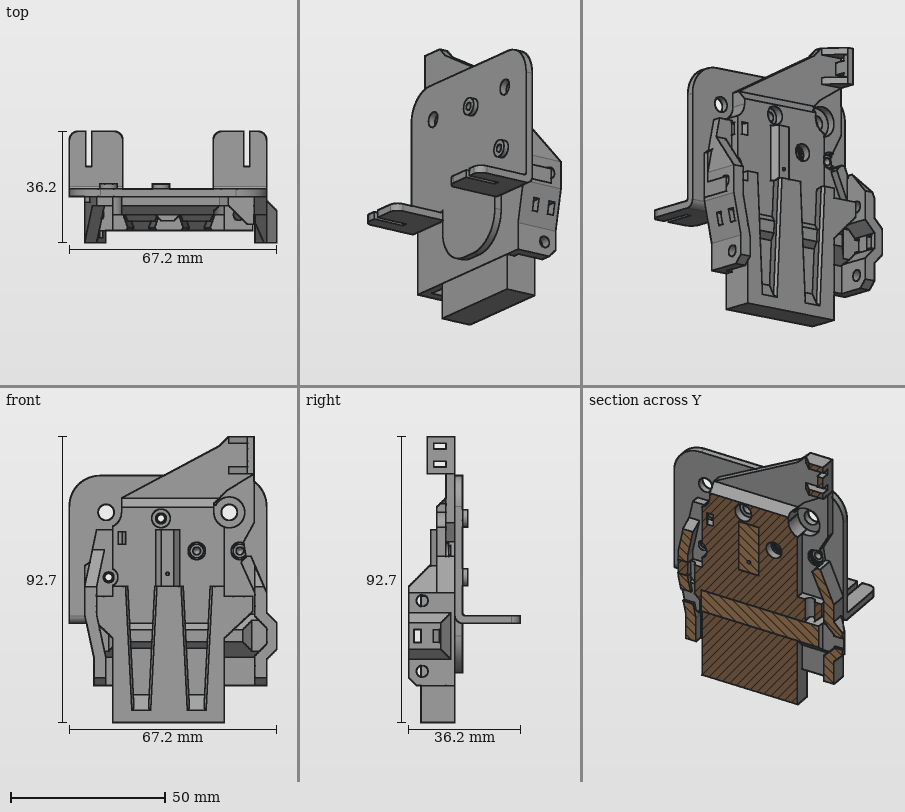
import cadquery as cq
import math


PLATE_WIDTH = 64.0
PLATE_TOP = 80.1
PLATE_BOTTOM = 16.1
PLATE_THICK = 2.5
PLATE_TOP_RADIUS = 10.0
PLATE_BOTTOM_RADIUS = 12.05
BEND_INNER_RADIUS = 0.8
BEND_OUTER_RADIUS = 2.5
TAB_WIDTH = 17.4
TAB_REACH = 21.2
TAB_BOTTOM = 32.2
LEG_TOP = TAB_BOTTOM + 2 * PLATE_THICK
TAB_RADIUS = 3.0
TAB_SLOT_WIDTH = 1.85
TAB_SLOT_LENGTH = 11.4
TAB_SLOT_CENTRES = (6.3, 57.6)
MOUNT_HOLES = (12.0, 51.9)
MOUNT_Z = 68.1
MOUNT_DIA = 5.1
MOUNT_CLEARANCE_DIA = 10.0
NUTS = ((29.75, 66.2), (12.8, 47.1))
NUT_DIA = 5.65
NUT_THREAD_DIA = 2.5
NUT_END = 4.2

BASE_DEPTH = 3.0
FLOOR_DEPTH = 5.9
SPINE_DEPTH = 7.9
BAR_DEPTH = 8.0
FINGER_DEPTH = 11.0
ARM_DEPTH = 15.0

BASE_BOTTOM = 12.0
CHUTE_LEFT = 14.1
CHUTE_RIGHT = 50.3
CHUTE_TOP = 72.8
CHUTE_STEP_X = 17.0
CHUTE_CORNER_LOW = (46.8, 70.9)
CHUTE_CORNER_HIGH = (51.1, 75.2)
FINGER_TOP = 44.1
WING_TOP = 62.6
ARM_WIDTH = 3.9
LEFT_ARM_X = 5.0
LEFT_ARM_FOOT_X = 8.0
LEFT_ARM_TOP_X = 8.9
LEFT_BEND_TOP = 34.85
LEFT_BEND_BOTTOM = 21.1
RIGHT_ARM_X = PLATE_WIDTH - ARM_WIDTH
STRUT_FOOT = 42.1
STRUT_TOP = 53.85
STRUT_HEAD_LEFT = 57.3
STRUT_HEAD_RIGHT = 58.9
BULGE = 3.2
ARM_SLOPE_TOP = 56.1
ARM_FOOT_CHAMFER = 2.6
UPPER_RIGHT = 60.0

SHOULDER_LEFT = LEFT_ARM_X
SHOULDER_RIGHT = 59.5
SHOULDER_TOP = 40.9
SHOULDER_BOTTOM = 36.0
PAD_DEPTH = 1.8

SLOT_CENTRES = (23.4, 41.3)
SLOT_BOTTOM = 3.9
SLOT_TOP_HALF = 5.1
SLOT_BOTTOM_HALF = 3.1
LIP = 0.7
LIP_DEPTH = 10.1
UNDERCUT = 1.5

ARM_HOLE_DIA = 3.7
ARM_HOLE_DEPTH = 10.6
ARM_HOLE_Z = (39.5, 16.6)
WINDOW_DEPTHS = ((5.0, 6.95), (FINGER_DEPTH, 13.25))
WINDOW_BOTTOM = 25.95
WINDOW_TOP = 30.1
SCREW_DIA = 3.4
SCREW_HEAD_DIA = 6.0
PILOT_X = (41.3, 55.3)
PILOT_Z = 55.6
PILOT_HEAD_DIA = 5.65
PILOT_DIA = 4.45
PILOT_TIP_DIA = 2.5
PILOT_HEAD_FLOOR = 2.0
PILOT_CONE_TOP = 1.4
SPINE_HOLE_X = 31.9
SPINE_HOLE_Z = 48.2
SPINE_HOLE_DIA = 1.0

BOX_TOP = 92.7
BOX_BOTTOM = 80.6
BOX_WALL = 2.2
BOX_DEPTH = 9.0
BOX_SLOT_HEIGHT = 1.8
BOX_SLOT_DEPTH = 6.9


def prism(points, depth, start=0.0):
    """An X-Z outline that runs forward from depth `start` to `depth`."""
    return cq.Workplane("XZ", origin=(0, -start, 0)).polyline(points).close().extrude(depth - start)


def side_prism(points, left, right):
    """A (depth, Z) outline that runs along X."""
    outline = [(-depth, z) for depth, z in points]
    return cq.Workplane("YZ", origin=(left, 0, 0)).polyline(outline).close().extrude(right - left)


def flat_prism(points, bottom, top):
    """An (X, depth) outline that runs up Z."""
    outline = [(x, -depth) for x, depth in points]
    return cq.Workplane("XY", origin=(0, 0, bottom)).polyline(outline).close().extrude(top - bottom)


def block(x0, x1, depth0, depth1, z0, z1):
    return prism([(x0, z0), (x1, z0), (x1, z1), (x0, z1)], depth1, depth0)


def rod(x, z, diameter, start, end):
    """A cylinder along Y between two depths."""
    return cq.Workplane("XZ", origin=(x, -start, z)).circle(diameter / 2).extrude(end - start)


def bent_tab(left, slot_x):
    """A slotted tab that leaves the plate's lower edge through a rounded bend."""
    tab_top = TAB_BOTTOM + PLATE_THICK
    right = left + TAB_WIDTH
    profile = [(0, TAB_BOTTOM), (0, LEG_TOP), (-PLATE_THICK, LEG_TOP), (-PLATE_THICK, tab_top),
               (-TAB_REACH, tab_top), (-TAB_REACH, TAB_BOTTOM)]
    body = side_prism(profile, left, right)
    body = body.edges("|Z and >Y").fillet(TAB_RADIUS)
    body = body.edges("|X and <Y and <Z").fillet(BEND_OUTER_RADIUS)
    axis_y = PLATE_THICK + BEND_INNER_RADIUS
    axis_z = tab_top + BEND_INNER_RADIUS
    bend_fill = block(left, right, -axis_y, -PLATE_THICK, tab_top, axis_z)
    bend_axis = cq.Workplane("YZ", origin=(left, axis_y, axis_z))
    body = body.union(bend_fill.cut(bend_axis.circle(BEND_INNER_RADIUS).extrude(TAB_WIDTH)))
    half = TAB_SLOT_WIDTH / 2
    slot = block(slot_x - half, slot_x + half, -TAB_REACH, TAB_SLOT_LENGTH - TAB_REACH, TAB_BOTTOM, tab_top)
    return body.cut(slot)


def make_plate():
    plate = block(0, PLATE_WIDTH, -PLATE_THICK, 0, LEG_TOP, PLATE_TOP)
    plate = plate.edges("|Y and >Z").fillet(PLATE_TOP_RADIUS)
    lower = block(TAB_WIDTH, PLATE_WIDTH - TAB_WIDTH, -PLATE_THICK, 0, PLATE_BOTTOM, LEG_TOP)
    plate = plate.union(lower.edges("|Y and <Z").fillet(PLATE_BOTTOM_RADIUS))
    for left, slot_x in zip((0, PLATE_WIDTH - TAB_WIDTH), TAB_SLOT_CENTRES):
        plate = plate.union(bent_tab(left, slot_x))
    for x in MOUNT_HOLES:
        plate = plate.cut(rod(x, MOUNT_Z, MOUNT_DIA, -PLATE_THICK, 0))
    for x, z in NUTS:
        plate = plate.union(rod(x, z, NUT_DIA, -NUT_END, -PLATE_THICK))
        plate = plate.cut(rod(x, z, NUT_THREAD_DIA, -NUT_END, 0))
    return plate


def tie_channel():
    """A curved cable-tie passage from the chute's front face to its left side."""
    outer_radius, inner_radius = 4.3, 1.85
    bottom, top = 57.7, 61.8
    corner = cq.Workplane("XY", origin=(CHUTE_LEFT, -FLOOR_DEPTH, bottom))
    ring = corner.circle(outer_radius).circle(inner_radius).extrude(top - bottom)
    return ring.intersect(block(CHUTE_LEFT, CHUTE_RIGHT, 0, FLOOR_DEPTH, bottom, top))


def pilot_hole(x):
    """A counterbored hole with a conical bottom."""
    head = rod(x, PILOT_Z, PILOT_HEAD_DIA, PILOT_HEAD_FLOOR, FLOOR_DEPTH)
    neck = rod(x, PILOT_Z, PILOT_DIA, PILOT_CONE_TOP, PILOT_HEAD_FLOOR)
    radius = PILOT_TIP_DIA / 2
    rim = cq.Vector(x, -PILOT_CONE_TOP, PILOT_Z)
    tip = cq.Solid.makeCone(radius, 0, radius, pnt=rim, dir=cq.Vector(0, 1, 0))
    return head.union(neck).union(cq.Workplane(tip))


def cut_fastenings(body):
    """Holes and passages shared by the frame and the chute on it."""
    for x in MOUNT_HOLES:
        body = body.cut(rod(x, MOUNT_Z, MOUNT_CLEARANCE_DIA, 0, FLOOR_DEPTH))
    for x, z in NUTS:
        body = body.cut(rod(x, z, SCREW_DIA, 0, BASE_DEPTH))
        body = body.cut(rod(x, z, SCREW_HEAD_DIA, BASE_DEPTH, FLOOR_DEPTH))
    for x in PILOT_X:
        body = body.cut(pilot_hole(x))
    body = body.cut(tie_channel())
    return body.cut(rod(SPINE_HOLE_X, SPINE_HOLE_Z, SPINE_HOLE_DIA, 0, SPINE_DEPTH))


def base():
    """The flat layer against the plate, round the upper end of the chute."""
    waist_top = 64.8
    waist = (56.5, 58.6)
    outline = [
        (LEFT_ARM_FOOT_X, BASE_BOTTOM), (LEFT_ARM_FOOT_X, LEFT_BEND_BOTTOM),
        (LEFT_ARM_X, LEFT_BEND_TOP), (LEFT_ARM_X, FINGER_TOP),
        (LEFT_ARM_TOP_X, WING_TOP), (CHUTE_RIGHT, WING_TOP), (CHUTE_RIGHT, MOUNT_Z),
        CHUTE_CORNER_LOW, CHUTE_CORNER_HIGH, (UPPER_RIGHT, BOX_BOTTOM),
        (UPPER_RIGHT, waist_top), waist, (STRUT_HEAD_LEFT, STRUT_TOP), (STRUT_HEAD_RIGHT, STRUT_TOP),
        (PLATE_WIDTH, STRUT_FOOT), (PLATE_WIDTH, BASE_BOTTOM),
    ]
    return prism(outline, BASE_DEPTH)


def spine():
    """The tapered rail that rises from the base through the chute, above its middle finger."""
    left, right, taper = 28.0, 35.8, 1.85
    outline = [(left, BASE_DEPTH), (left, FLOOR_DEPTH), (left + taper, SPINE_DEPTH),
               (right - taper, SPINE_DEPTH), (right, FLOOR_DEPTH), (right, BASE_DEPTH)]
    return flat_prism(outline, FINGER_TOP, WING_TOP)


def belt_bar():
    """The cross bar with 45 degree flanks and lowered ends."""
    rise = BAR_DEPTH - BASE_DEPTH
    top, bottom = 35.1, 21.1
    end_depth = 5.0
    ramp = BAR_DEPTH - end_depth
    left_end, right_end = 12.8, 59.2
    section = [(0, bottom), (BASE_DEPTH, bottom), (BAR_DEPTH, bottom + rise),
               (BAR_DEPTH, top - rise), (BASE_DEPTH, top), (0, top)]
    body = side_prism(section, LEFT_ARM_FOOT_X, PLATE_WIDTH)
    profile = [(LEFT_ARM_FOOT_X, 0), (PLATE_WIDTH, 0), (PLATE_WIDTH, end_depth), (right_end, end_depth),
               (right_end - ramp, BAR_DEPTH), (left_end + ramp, BAR_DEPTH),
               (left_end, end_depth), (LEFT_ARM_FOOT_X, end_depth)]
    return body.intersect(flat_prism(profile, bottom, top))


def arm_side(left, right):
    """The arm outline seen along X, between two X positions."""
    slope_rise = ARM_DEPTH - BASE_DEPTH
    outline = [
        (0, BASE_BOTTOM), (ARM_DEPTH - ARM_FOOT_CHAMFER, BASE_BOTTOM),
        (ARM_DEPTH, BASE_BOTTOM + ARM_FOOT_CHAMFER), (ARM_DEPTH, ARM_SLOPE_TOP - slope_rise),
        (BASE_DEPTH, ARM_SLOPE_TOP), (0, ARM_SLOPE_TOP),
    ]
    return side_prism(outline, left, right)


def left_arm():
    """The bent arm, with parallel inner and outer faces."""
    outer = [(LEFT_ARM_FOOT_X, BASE_BOTTOM), (LEFT_ARM_FOOT_X, LEFT_BEND_BOTTOM),
             (LEFT_ARM_X, LEFT_BEND_TOP), (LEFT_ARM_X, FINGER_TOP), (LEFT_ARM_TOP_X, WING_TOP)]
    inner = [(x + ARM_WIDTH, z) for x, z in reversed(outer)]
    return prism(outer + inner, ARM_DEPTH).intersect(arm_side(0, CHUTE_LEFT))


def right_arm():
    """The straight arm with a hollow bulge round the end of the bar."""
    edge, outer = PLATE_WIDTH, PLATE_WIDTH + BULGE
    bulge_bottom, bulge_top = 20.5, 35.6
    hollow_bottom, hollow_top = 21.6, 34.5
    arm_top = 50.8
    outline = [
        (RIGHT_ARM_X, BASE_BOTTOM), (edge, BASE_BOTTOM), (edge, bulge_bottom), (outer, bulge_bottom + BULGE),
        (outer, bulge_top - BULGE), (edge, bulge_top), (edge, STRUT_FOOT), (RIGHT_ARM_X, arm_top),
        (RIGHT_ARM_X, hollow_top), (edge, hollow_top - ARM_WIDTH),
        (edge, hollow_bottom + ARM_WIDTH), (RIGHT_ARM_X, hollow_bottom),
    ]
    back = 1.3
    back_relief = flat_prism([(edge, 0), (outer, 0), (outer, back + BULGE), (edge, back)], 0, WING_TOP)
    return prism(outline, ARM_DEPTH).intersect(arm_side(RIGHT_ARM_X, outer)).cut(back_relief)


def right_strut():
    """The raised rib that leads from the upper frame down into the right arm."""
    inner_corner = (55.7, 51.9)
    outline = [inner_corner, (STRUT_HEAD_LEFT, STRUT_TOP), (STRUT_HEAD_RIGHT, STRUT_TOP),
               (PLATE_WIDTH, STRUT_FOOT), (RIGHT_ARM_X, STRUT_FOOT)]
    return prism(outline, FLOOR_DEPTH)


def cut_arm_openings(arms):
    """Round holes and belt windows that run across both arms."""
    reach = PLATE_WIDTH + BULGE
    for z in ARM_HOLE_Z:
        hole = cq.Workplane("YZ", origin=(0, -ARM_HOLE_DEPTH, z)).circle(ARM_HOLE_DIA / 2).extrude(reach)
        arms = arms.cut(hole)
    for near, far in WINDOW_DEPTHS:
        arms = arms.cut(block(0, reach, near, far, WINDOW_BOTTOM, WINDOW_TOP))
    return arms


def left_key():
    """The part of the chute that lies inside the left arm: a thin pad and the end of a shoulder."""
    end = block(LEFT_ARM_X, LEFT_ARM_TOP_X, 0, FINGER_DEPTH, SHOULDER_BOTTOM, SHOULDER_TOP)
    pad_top = 52.8
    corner_width, corner_height = 3.0, 2.0
    pad = [(LEFT_ARM_X, SHOULDER_BOTTOM), (LEFT_ARM_X, pad_top - corner_height),
           (LEFT_ARM_X + corner_width, pad_top), (CHUTE_LEFT, pad_top), (CHUTE_LEFT, SHOULDER_BOTTOM)]
    return end.union(prism(pad, PAD_DEPTH))


def make_frame():
    arms = cut_arm_openings(left_arm().union(right_arm()))
    frame = base().union(right_strut()).union(arms).union(belt_bar()).union(spine())
    return cut_fastenings(frame.cut(left_key()))


def chute_body():
    """The floor with its sloped top edge, and the thick block that the finger slots divide."""
    corner_x, corner_z = CHUTE_CORNER_LOW
    outline = [
        (CHUTE_LEFT, 0), (CHUTE_LEFT, MOUNT_Z), (CHUTE_STEP_X, MOUNT_Z), (CHUTE_STEP_X, CHUTE_TOP),
        (corner_x + CHUTE_TOP - corner_z, CHUTE_TOP), CHUTE_CORNER_LOW, (corner_x, MOUNT_Z),
        (CHUTE_RIGHT, MOUNT_Z), (CHUTE_RIGHT, 0),
    ]
    rise = FLOOR_DEPTH - BASE_DEPTH
    top_slope = side_prism(
        [(BASE_DEPTH, CHUTE_TOP), (FLOOR_DEPTH, CHUTE_TOP), (FLOOR_DEPTH, CHUTE_TOP - rise)], 0, PLATE_WIDTH)
    body = prism(outline, FLOOR_DEPTH).cut(top_slope)
    return body.union(block(CHUTE_LEFT, CHUTE_RIGHT, 0, FINGER_DEPTH, 0, FINGER_TOP))


def box_web():
    """The flat web that carries the switch box above the chute."""
    crest = (48.6, 89.6)
    top_left = (crest[0] + BOX_TOP - crest[1], BOX_TOP)
    outline = [(CHUTE_STEP_X, CHUTE_TOP), crest, top_left, (UPPER_RIGHT, BOX_TOP),
               (UPPER_RIGHT, BOX_BOTTOM), CHUTE_CORNER_HIGH, CHUTE_CORNER_LOW,
               (CHUTE_STEP_X, CHUTE_CORNER_LOW[1])]
    return prism(outline, BASE_DEPTH)


def switch_box():
    """An open box made of a slotted side wall and two triangular ribs."""
    rise = BOX_DEPTH - BASE_DEPTH
    wall_x = UPPER_RIGHT - BOX_WALL
    box = block(wall_x, UPPER_RIGHT, BASE_DEPTH, BOX_DEPTH, BOX_BOTTOM, BOX_TOP)
    rib = [(wall_x - rise, BASE_DEPTH), (wall_x, BOX_DEPTH), (wall_x, BASE_DEPTH)]
    upper_rib_bottom = BOX_TOP - BOX_WALL
    for bottom in (BOX_BOTTOM, upper_rib_bottom):
        box = box.union(flat_prism(rib, bottom, bottom + BOX_WALL))
    for bottom in (BOX_BOTTOM + BOX_WALL, upper_rib_bottom - BOX_SLOT_HEIGHT):
        top = bottom + BOX_SLOT_HEIGHT
        box = box.cut(block(wall_x, UPPER_RIGHT, BASE_DEPTH, BOX_SLOT_DEPTH, bottom, top))
    return box


def finger_slot(centre):
    """An undercut slot that narrows downwards and ends in a 45 degree slope."""
    def section(half):
        throat = half - LIP
        return [
            (centre - half, -FINGER_DEPTH), (centre - throat, -LIP_DEPTH),
            (centre - throat - UNDERCUT, -FLOOR_DEPTH), (centre + throat + UNDERCUT, -FLOOR_DEPTH),
            (centre + throat, -LIP_DEPTH), (centre + half, -FINGER_DEPTH),
        ]
    slot = (cq.Workplane("XY", origin=(0, 0, SLOT_BOTTOM)).polyline(section(SLOT_BOTTOM_HALF)).close()
            .workplane(offset=FINGER_TOP - SLOT_BOTTOM).polyline(section(SLOT_TOP_HALF)).close()
            .loft(ruled=True))
    rise = FINGER_DEPTH - FLOOR_DEPTH
    end_slope = side_prism([(FINGER_DEPTH, SLOT_BOTTOM), (FLOOR_DEPTH, SLOT_BOTTOM),
                            (FLOOR_DEPTH, SLOT_BOTTOM + rise)], 0, PLATE_WIDTH)
    return slot.cut(end_slope)


def shoulder(end, root):
    """A solid block between the fingers' flank at X `root` and X `end`, with a vertical screw hole."""
    root_bottom = 27.3
    hole_inset, hole_dia = 4.5, 3.4
    outline = [(end, SHOULDER_TOP), (root, SHOULDER_TOP), (root, root_bottom), (end, SHOULDER_BOTTOM)]
    inset = math.copysign(hole_inset, root - end)
    hole_centre = cq.Workplane("XY", origin=(end + inset, -FLOOR_DEPTH, 0))
    hole = hole_centre.circle(hole_dia / 2).extrude(SHOULDER_TOP)
    return prism(outline, FINGER_DEPTH).cut(hole)


def make_chute(frame):
    """The chute, recessed wherever the frame's base, bar, spine and arm run through it."""
    body = chute_body().union(box_web()).union(switch_box()).union(left_key())
    for centre in SLOT_CENTRES:
        body = body.cut(finger_slot(centre))
    for end, root in ((SHOULDER_LEFT, CHUTE_LEFT), (SHOULDER_RIGHT, CHUTE_RIGHT)):
        body = body.union(shoulder(end, root))
    return cut_fastenings(body.cut(frame))


plate = make_plate()
frame = make_frame()
chute = make_chute(frame)

result = cq.Compound.makeCompound([plate.val(), frame.val(), chute.val()])